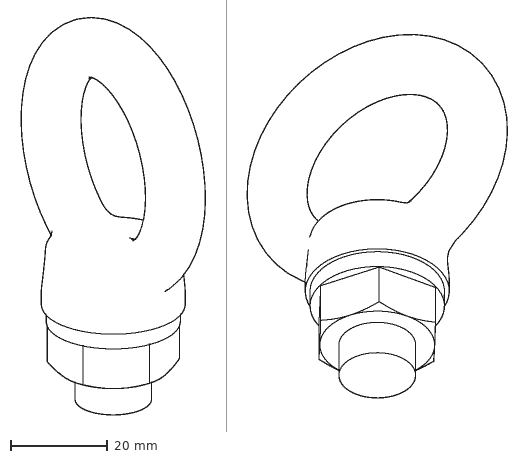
import cadquery as cq
import math


OVERALL_HEIGHT = 87.0
STUD_RIM_Z = 2.0
NUT_BOTTOM_Z = 9.8
WASHER_BOTTOM_Z = 19.8
HUB_BOTTOM_Z = 23.7
TAPER_START_Z = 27.1
HUB_RIM_Z = 37.7
HUB_APEX_Z = 39.7

RING_OUTER_DIAMETER = 59.9
RING_BAR_DIAMETER = 12.5
RING_PATH_RADIUS = (RING_OUTER_DIAMETER - RING_BAR_DIAMETER) / 2
RING_CENTER_Z = OVERALL_HEIGHT - RING_OUTER_DIAMETER / 2

HUB_DIAMETER = 30.0
HUB_RADIUS = HUB_DIAMETER / 2
HUB_TOP_RADIUS = 14.0
HUB_EDGE_FILLET = 1.7
RING_BLEND_RADIUS = 5.65
JOINT_TOLERANCE = 0.1

WASHER_RADIUS = 14.0
NUT_ACROSS_FLATS = 23.9
NUT_CHAMFER_ANGLE = 30.0
STUD_RADIUS = 8.0


def make_hub():
    """Turned hub with a cylindrical foot, tapered side and shallow conical top."""
    hub = (
        cq.Workplane("YZ")
        .moveTo(0, HUB_BOTTOM_Z)
        .lineTo(HUB_RADIUS, HUB_BOTTOM_Z)
        .lineTo(HUB_RADIUS, TAPER_START_Z)
        .lineTo(HUB_TOP_RADIUS, HUB_RIM_Z)
        .lineTo(0, HUB_APEX_Z)
        .close()
        .revolve(360, (0, 0), (0, 1))
    )
    rim = cq.selectors.BoxSelector(
        (-HUB_RADIUS, -HUB_RADIUS, HUB_RIM_Z - HUB_EDGE_FILLET),
        (HUB_RADIUS, HUB_RADIUS, HUB_APEX_Z),
    )
    return hub.edges("%CIRCLE").edges(rim).fillet(HUB_EDGE_FILLET)


def make_ring():
    """Round-bar ring standing in the XZ plane, with its seam at the top."""
    return (
        cq.Workplane("YZ")
        .center(0, RING_CENTER_Z + RING_PATH_RADIUS)
        .circle(RING_BAR_DIAMETER / 2)
        .revolve(360, (0, -RING_PATH_RADIUS), (1, -RING_PATH_RADIUS))
    )


def make_eye():
    """Ring and hub in one piece, blended where the ring enters the hub."""
    eye = make_hub().union(make_ring())
    joint_edges = [
        edge
        for edge in eye.edges("%BSPLINE").vals()
        if max(abs(edge.Center().y), abs(edge.startPoint().y)) < RING_BAR_DIAMETER / 2 + JOINT_TOLERANCE
    ]
    return eye.newObject(joint_edges).fillet(RING_BLEND_RADIUS).solids()


def make_washer():
    """Plain washer that fits round the stud."""
    return (
        cq.Workplane("XY", origin=(0, 0, WASHER_BOTTOM_Z))
        .circle(WASHER_RADIUS)
        .circle(STUD_RADIUS)
        .extrude(HUB_BOTTOM_Z - WASHER_BOTTOM_Z)
    )


def make_nut():
    """Hexagon nut with corners along X and a conical chamfer on its lower face."""
    corner_radius = NUT_ACROSS_FLATS / math.sqrt(3)
    face_radius = NUT_ACROSS_FLATS / 2
    chamfer_height = (corner_radius - face_radius) * math.tan(math.radians(NUT_CHAMFER_ANGLE))
    hexagon = (
        cq.Workplane("XY", origin=(0, 0, NUT_BOTTOM_Z))
        .polygon(6, 2 * corner_radius)
        .circle(STUD_RADIUS)
        .extrude(WASHER_BOTTOM_Z - NUT_BOTTOM_Z)
    )
    chamfer_envelope = (
        cq.Workplane("XZ")
        .moveTo(0, NUT_BOTTOM_Z)
        .lineTo(face_radius, NUT_BOTTOM_Z)
        .lineTo(corner_radius, NUT_BOTTOM_Z + chamfer_height)
        .lineTo(corner_radius, WASHER_BOTTOM_Z)
        .lineTo(0, WASHER_BOTTOM_Z)
        .close()
        .revolve(360, (0, 0), (0, 1))
    )
    return hexagon.intersect(chamfer_envelope)


def make_stud():
    """Stud with a domed lower end, reaching up to the underside of the hub."""
    dome_radius = (STUD_RADIUS**2 + STUD_RIM_Z**2) / (2 * STUD_RIM_Z)
    half_angle = math.asin(STUD_RADIUS / dome_radius) / 2
    dome_middle = (
        dome_radius * math.sin(half_angle),
        dome_radius * (1 - math.cos(half_angle)),
    )
    return (
        cq.Workplane("XZ")
        .threePointArc(dome_middle, (STUD_RADIUS, STUD_RIM_Z))
        .lineTo(STUD_RADIUS, HUB_BOTTOM_Z)
        .lineTo(0, HUB_BOTTOM_Z)
        .close()
        .revolve(360, (0, 0), (0, 1))
    )


eye = make_eye()
washer = make_washer()
nut = make_nut()
stud = make_stud()

result = cq.Compound.makeCompound([eye.val(), washer.val(), nut.val(), stud.val()])